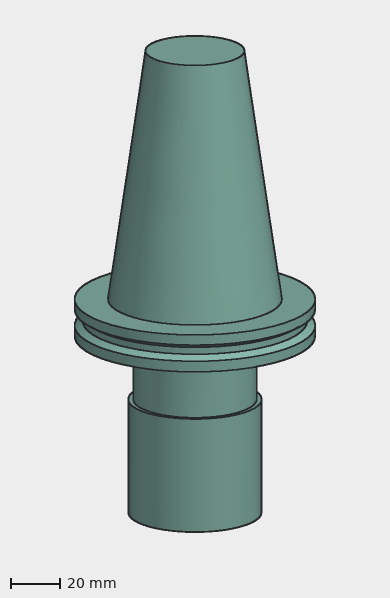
import cadquery as cq

total_height = 195.6
nose_top = 48.0
flange_bottom = 74.7
flange_top = 90.4

nose_diameter = 54.0
neck_diameter = 50.0
flange_diameter = 97.5
groove_diameter = 91.0
taper_large_diameter = 70.5
taper_small_diameter = 40.1

groove_floor_bottom = 81.2
groove_floor_top = 84.1
groove_wall_height = 2.0

profile = [
    (0, 0),
    (nose_diameter / 2, 0),
    (nose_diameter / 2, nose_top),
    (neck_diameter / 2, nose_top),
    (neck_diameter / 2, flange_bottom),
    (flange_diameter / 2, flange_bottom),
    (flange_diameter / 2, groove_floor_bottom - groove_wall_height),
    (groove_diameter / 2, groove_floor_bottom),
    (groove_diameter / 2, groove_floor_top),
    (flange_diameter / 2, groove_floor_top + groove_wall_height),
    (flange_diameter / 2, flange_top),
    (taper_large_diameter / 2, flange_top),
    (taper_small_diameter / 2, total_height),
    (0, total_height),
]

result = cq.Workplane("XZ").polyline(profile).close().revolve(360, (0, 0, 0), (0, 1, 0))